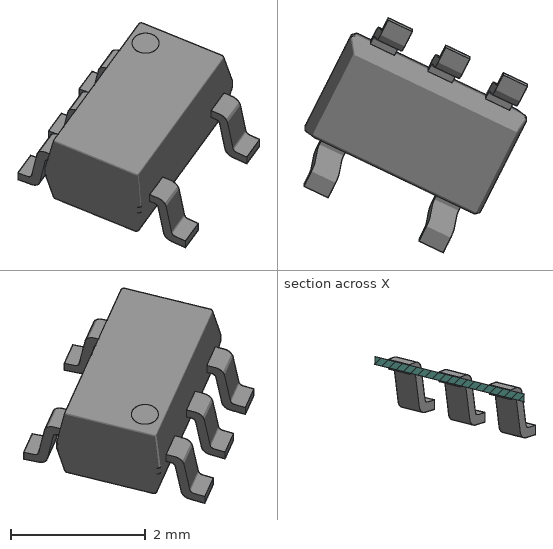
import cadquery as cq
import math

housing_width = 1.625
housing_length = 2.9
housing_bottom = 0.15
housing_top = 1.45
band_bottom = 0.73
band_top = 0.85
draft_angle = 9.5
edge_radius = 0.05

lead_span = 2.83
lead_width = 0.4
lead_pitch = 0.95
lead_thickness = 0.15
lead_top = 0.86
knee_reach = 0.257
leg_lean = math.radians(10.0)
foot_slope = math.radians(3.5)
outer_bend_radius = 0.15
inner_bend_radius = 0.07
left_rows = (-1, 0, 1)
right_rows = (-1, 1)

marker_diameter = 0.4
marker_depth = 0.05
marker_x = -0.43
marker_y = 1.0


def make_marker():
    return (
        cq.Workplane("XY", origin=(marker_x, marker_y, housing_top - marker_depth))
        .circle(marker_diameter / 2)
        .extrude(marker_depth)
    )


def make_housing():
    """A straight band with a drafted block above and below it, rounded on all outer edges."""

    def footprint(z):
        return cq.Workplane("XY", origin=(0, 0, z)).rect(housing_width, housing_length)

    band = footprint(band_bottom).extrude(band_top - band_bottom)
    upper = footprint(band_top).extrude(housing_top - band_top, taper=draft_angle)
    lower = footprint(band_bottom).extrude(housing_bottom - band_bottom, taper=draft_angle)
    block = band.union(upper).union(lower)
    corner_edges = block.edges("not #Z")
    rim_edges = block.edges("<Z or >Z")
    block = block.newObject(corner_edges.vals() + rim_edges.vals()).fillet(edge_radius)
    return block.cut(make_marker())


def make_lead(row):
    """One gull-wing lead on the +X side, built from its bent profile in the XZ plane."""
    root_x = housing_width / 2
    tip_x = lead_span / 2
    knee_x = root_x + knee_reach
    lean = math.tan(leg_lean)
    slope = math.tan(foot_slope)
    leg_run = lead_thickness / math.cos(leg_lean)
    foot_rise = lead_thickness / math.cos(foot_slope)

    def ankle(leg_x, tip_z):
        """Corner of a leg line that passes leg_x at lead_top and a foot line that ends at tip_z."""
        x = (leg_x + lean * (lead_top - tip_z - slope * tip_x)) / (1 - lean * slope)
        return (x, tip_z + slope * (tip_x - x))

    knee_outer = (knee_x, lead_top)
    knee_inner = (knee_x - leg_run + lean * lead_thickness, lead_top - lead_thickness)
    ankle_inner = ankle(knee_x, foot_rise)
    ankle_outer = ankle(knee_x - leg_run, 0)

    def bend(body, corner, radius):
        x, z = corner
        return body.edges(cq.selectors.NearestToPointSelector((x, row * lead_pitch, z))).fillet(radius)

    lead = (
        cq.Workplane("XZ", origin=(0, row * lead_pitch, 0))
        .polyline(
            [
                (root_x, lead_top),
                knee_outer,
                ankle_inner,
                (tip_x, foot_rise),
                (tip_x, 0),
                ankle_outer,
                knee_inner,
                (root_x, lead_top - lead_thickness),
            ]
        )
        .close()
        .extrude(lead_width / 2, both=True)
    )
    lead = bend(lead, knee_outer, outer_bend_radius)
    lead = bend(lead, ankle_outer, outer_bend_radius)
    lead = bend(lead, knee_inner, inner_bend_radius)
    return bend(lead, ankle_inner, inner_bend_radius)


housing = make_housing()
marker = make_marker()
right_leads = [make_lead(row) for row in right_rows]
left_leads = [make_lead(row).mirror("YZ") for row in left_rows]

result = cq.Compound.makeCompound(
    [housing.val(), marker.val()] + [lead.val() for lead in right_leads + left_leads]
)